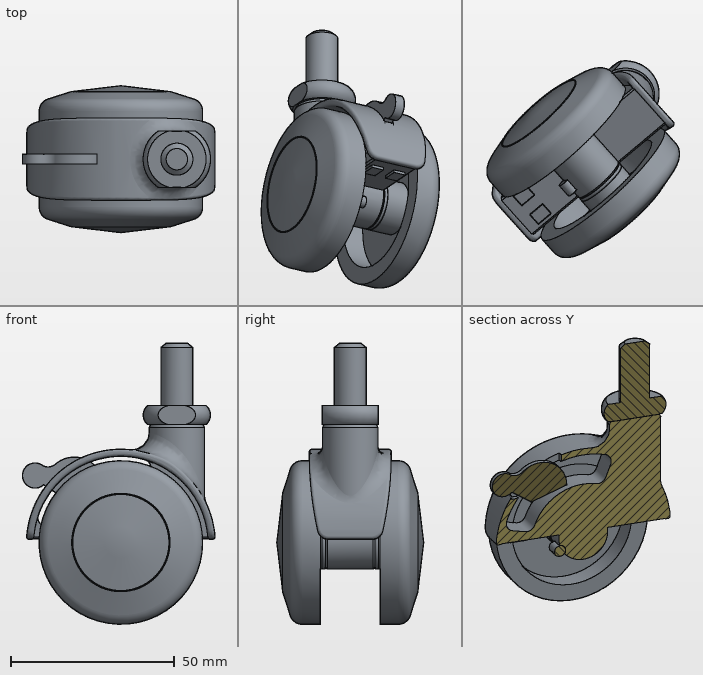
import cadquery as cq
import math


overall_height = 86.0
overall_width = 45.0

wheel_radius = 25.0
wheel_inner_face = 9.1
recess_radius = 19.8
recess_floor = 16.0
tread_edge = 14.7
tread_fillet = 3.9
cone_slope = 0.32
cap_radius = 14.9
cap_edge = 20.7
cap_apex = overall_width / 2
groove_half_width = 0.2
groove_depth = 0.3
boss_radius = 8.2
boss_step = 8.6
boss_nose_sag = 0.2

hood_center_z = -0.35
hood_radius = 28.9
hood_inner_radius = 26.7
hood_bottom = 0.95
hood_half_width = 12.55
hood_bottom_half_width = 9.4
hood_side_radius = 111.8
hood_corner_radius = 3.35
hood_edge_fillet = 0.9
hood_blank_half_width = hood_radius
rim_normal_limit = 0.5
selection_margin = 0.1

web_half_width = 7.6
web_bottom = 1.1
web_chamfer = 0.56
hub_radius = 8.2
window_inner_radius = 17.2
window_start = 68.0
window_end = 167.0
window_fillet = 2.6

rib_inner_y = 1.9
rib_outer_y = 5.85
rib_bottom = 0.3
rib_length = 5.2
rib_x = -20.6

neck_x = 17.1
neck_radius = 8.5
neck_top = 36.0
neck_fillet = 5.2
neck_chamfer_height = 0.95
neck_chamfer_width = 0.4

collar_radius = 10.3
collar_face_radius = 8.95
collar_height = 5.85
collar_flat = 8.6
stem_radius = 4.9
stem_top = overall_height - wheel_radius
tip_chamfer_height = 1.4
tip_chamfer_width = 1.6

lever_thickness = 3.1
lever_head_x = -26.2
lever_head_z = 20.5
lever_head_radius = 3.9
lever_cam_x = -14.2
lever_cam_z = 17.3
lever_cam_radius = 8.9
lever_head_lower_angle = -47.0
lever_head_upper_angle = 51.0
lever_cam_start_angle = 133.0
lever_valley_x = -22.2
lever_valley_z = 23.1
lever_toe_x = -17.2
lever_toe_z = 13.4
slot_left = -23.6
slot_right = -7.3
slot_bottom = 15.5

pin_radius = 1.8
pin_x = -7.7
pin_z = -4.2
pin_length = 4.3
pin_start_y = -0.2


def on_circle(cx, cz, radius, degrees):
    angle = math.radians(degrees)
    return cx + radius * math.cos(angle), cz + radius * math.sin(angle)


def cylinder_y(radius, half_width, z=0):
    """Cylinder along Y, centred on the mid plane."""
    return cq.Workplane("XZ").center(0, z).circle(radius).extrude(half_width, both=True)


def make_wheel(side):
    """Wheel with its cap and boss; side is +1 or -1 along Y."""
    fillet_center = wheel_radius - tread_fillet
    cone_angle = math.atan(cone_slope)
    cone_start = on_circle(fillet_center, tread_edge, tread_fillet, 90 - math.degrees(cone_angle))
    fillet_middle = on_circle(fillet_center, tread_edge, tread_fillet, 45 - math.degrees(cone_angle) / 2)
    nose_end_radius = boss_radius - boss_nose_sag
    profile = (
        cq.Workplane("XY")
        .moveTo(0, web_half_width)
        .lineTo(nose_end_radius, web_half_width)
        .threePointArc((boss_radius, (web_half_width + boss_step) / 2), (nose_end_radius, boss_step))
        .lineTo(boss_radius, boss_step)
        .lineTo(boss_radius, recess_floor)
        .lineTo(recess_radius, recess_floor)
        .lineTo(recess_radius, wheel_inner_face)
        .lineTo(wheel_radius, wheel_inner_face)
        .lineTo(wheel_radius, tread_edge)
        .threePointArc(fillet_middle, cone_start)
        .lineTo(cap_radius + groove_half_width, cap_edge)
        .lineTo(cap_radius, cap_edge - groove_depth)
        .lineTo(cap_radius - groove_half_width, cap_edge)
        .lineTo(0, cap_apex)
        .close()
    )
    wheel = profile.revolve(360, (0, 0, 0), (0, 1, 0))
    if side < 0:
        wheel = wheel.mirror("XZ")
    return wheel


def make_hood_envelope():
    """U-shaped side limit of the hood, extruded along X."""
    top = 2 * hood_radius
    crown = hood_radius + hood_center_z
    chord_y = hood_half_width - hood_bottom_half_width
    chord_z = crown - hood_bottom
    chord = math.hypot(chord_y, chord_z)
    sag = hood_side_radius - math.sqrt(hood_side_radius**2 - (chord / 2) ** 2)
    bulge_y = (hood_half_width + hood_bottom_half_width) / 2 + sag * chord_z / chord
    bulge_z = (crown + hood_bottom) / 2 - sag * chord_y / chord
    envelope = (
        cq.Workplane("YZ")
        .moveTo(-hood_half_width, top)
        .lineTo(-hood_half_width, crown)
        .threePointArc((-bulge_y, bulge_z), (-hood_bottom_half_width, hood_bottom))
        .lineTo(hood_bottom_half_width, hood_bottom)
        .threePointArc((bulge_y, bulge_z), (hood_half_width, crown))
        .lineTo(hood_half_width, top)
        .close()
        .extrude(2 * hood_radius, both=True)
    )
    return envelope.faces("<Z").edges("|X").fillet(hood_corner_radius)


def is_rim_face(face):
    """True for the narrow faces that run around the border of the hood."""
    looks_sideways = abs(face.normalAt().y) > rim_normal_limit
    is_bottom = face.Center().z < hood_bottom + selection_margin
    return looks_sideways or is_bottom


def make_hood():
    """Arched guard with the swivel neck blended into it."""
    blank = cylinder_y(hood_radius, hood_blank_half_width, hood_center_z)
    neck = (
        cq.Workplane("XY").workplane(offset=hood_bottom).center(neck_x, 0)
        .circle(neck_radius).extrude(neck_top - hood_bottom)
    )
    hood = blank.union(neck)
    reach = neck_radius + selection_margin
    around_neck = cq.selectors.BoxSelector(
        (neck_x - reach, -reach, hood_bottom),
        (neck_x + reach, reach, neck_top - selection_margin),
        boundingbox=True,
    )
    seam = hood.edges(around_neck).edges("not %CIRCLE").edges("not %LINE")
    hood = hood.newObject(seam.vals()).fillet(neck_fillet)
    hood = hood.faces(">Z").chamfer(neck_chamfer_height, neck_chamfer_width)
    hood = hood.intersect(make_hood_envelope())
    hood = hood.cut(cylinder_y(hood_inner_radius, hood_blank_half_width, hood_center_z))
    rim = hood.faces().filter(is_rim_face).edges("not |X")
    return hood.newObject(rim.vals()).fillet(hood_edge_fillet)


def make_web():
    """Central wall that carries the wheels: half disc, hub and the brake window."""
    joint_radius = (hood_radius + hood_inner_radius) / 2
    disc = cylinder_y(joint_radius, web_half_width, hood_center_z)
    size = 2 * hood_radius
    below = cq.Workplane("XY").box(size, size, size).translate((0, 0, web_bottom - size / 2))
    web = disc.cut(below).union(cylinder_y(hub_radius, web_half_width))
    underside = cq.selectors.BoxSelector(
        (-size, -size, -size), (size, size, web_bottom + selection_margin))
    web = web.faces("|Y").edges(underside).chamfer(web_chamfer)
    return web.cut(make_brake_window())


def make_brake_window():
    """Ring-shaped opening through the web, just under the hood."""
    window_middle = (window_start + window_end) / 2
    outer_start, outer_middle, outer_end = [
        on_circle(0, hood_center_z, hood_inner_radius, angle)
        for angle in (window_start, window_middle, window_end)
    ]
    inner_start, inner_middle, inner_end = [
        on_circle(0, hood_center_z, window_inner_radius, angle)
        for angle in (window_start, window_middle, window_end)
    ]
    window = (
        cq.Workplane("XZ")
        .moveTo(*outer_start)
        .threePointArc(outer_middle, outer_end)
        .lineTo(*inner_end)
        .threePointArc(inner_middle, inner_start)
        .close()
        .extrude(2 * web_half_width, both=True)
    )
    return window.edges("|Y").fillet(window_fillet)


def make_stop_ribs():
    """Two short ribs under the web, between the hub and the hood."""
    width = rib_outer_y - rib_inner_y
    height = web_bottom + web_chamfer - rib_bottom
    rib_y = (rib_outer_y + rib_inner_y) / 2
    rib_z = rib_bottom + height / 2
    return (
        cq.Workplane("XY").pushPoints([(rib_x, -rib_y), (rib_x, rib_y)])
        .box(rib_length, width, height).translate((0, 0, rib_z))
    )


def make_lever_slot():
    """Slot through the crown of the hood, as wide as the lever."""
    length = slot_right - slot_left
    height = hood_radius - slot_bottom
    slot = cq.Workplane("XY").box(length, lever_thickness, height)
    return slot.translate(((slot_left + slot_right) / 2, 0, slot_bottom + height / 2))


def make_housing(pin):
    """Hood, web and ribs in one body, with the lever slot and the pin seat."""
    body = make_hood().union(make_web()).union(make_stop_ribs())
    return body.cut(make_lever_slot()).cut(pin)


def make_stem():
    """Round-edged collar with two wrench flats, and the mounting stud above it."""
    collar_top = neck_top + collar_height
    profile = (
        cq.Workplane("XZ")
        .moveTo(0, neck_top)
        .lineTo(collar_face_radius, neck_top)
        .threePointArc((collar_radius, neck_top + collar_height / 2), (collar_face_radius, collar_top))
        .lineTo(stem_radius, collar_top)
        .lineTo(stem_radius, stem_top - tip_chamfer_height)
        .lineTo(stem_radius - tip_chamfer_width, stem_top)
        .lineTo(0, stem_top)
        .close()
    )
    stem = profile.revolve(360, (0, 0, 0), (0, 1, 0))
    stock = cq.Workplane("XY").box(2 * collar_radius, 2 * collar_flat, 4 * stem_top)
    return stem.intersect(stock).translate((neck_x, 0, 0))


def make_lever():
    """Flat pedal: round head, waisted neck and a round cam inside the hood."""
    head_lower = on_circle(lever_head_x, lever_head_z, lever_head_radius, lever_head_lower_angle)
    head_upper = on_circle(lever_head_x, lever_head_z, lever_head_radius, lever_head_upper_angle)
    cam_upper = on_circle(lever_cam_x, lever_cam_z, lever_cam_radius, lever_cam_start_angle)
    cam_middle = on_circle(lever_cam_x, lever_cam_z, lever_cam_radius, lever_cam_start_angle / 2)
    cam_end = (lever_cam_x + lever_cam_radius, lever_cam_z)
    outline = (
        cq.Workplane("XZ")
        .moveTo(*head_lower)
        .threePointArc((lever_head_x - lever_head_radius, lever_head_z), head_upper)
        .threePointArc((lever_valley_x, lever_valley_z), cam_upper)
        .threePointArc(cam_middle, cam_end)
        .lineTo(lever_toe_x, lever_toe_z)
        .close()
    )
    return outline.extrude(lever_thickness / 2, both=True)


def make_stop_pin():
    """Short pin along Y, half sunk into the front of the hub."""
    pin = cq.Workplane("XZ").center(pin_x, pin_z).circle(pin_radius).extrude(-pin_length)
    return pin.translate((0, pin_start_y, 0))


stop_pin = make_stop_pin()
housing = make_housing(stop_pin)
stem = make_stem()
lever = make_lever()
wheels = [make_wheel(side) for side in (-1, 1)]

result = cq.Compound.makeCompound(
    [housing.val(), stem.val(), lever.val(), stop_pin.val(), *[wheel.val() for wheel in wheels]]
)